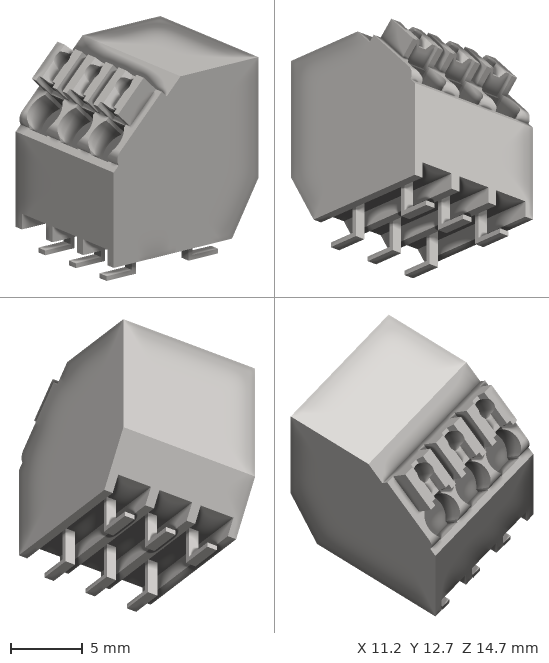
import cadquery as cq
import math

POLES = 3
PITCH = 3.5
WIDTH = 11.2
DEPTH = 12.7
HEIGHT = 14.71

BOTTOM_Z = 1.56
TOP_Z = 14.43
SLOPE_START_Z = 8.56
BACK_CHAMFER_DEPTH = 2.31
BACK_CHAMFER_HEIGHT = 3.97
CHANNEL_WIDTH = 2.78
CHANNEL_HEIGHT = 1.16

BAND_HEIGHT = 0.6
NOSE_START = 0.62
NOSE_END = 1.41

POCKET_OFFSET_X = -0.051
POCKET_RADIUS = 1.53
POCKET_CENTER = 1.94
POCKET_SLOT_WIDTH = 1.99
POCKET_SLOT_START = 0.55
POCKET_DEPTH = 1.85
POCKET_FLOOR = BAND_HEIGHT - POCKET_DEPTH

LEVER_WIDTH = 2.85
LEVER_START = 3.38
LEVER_END = 6.58
LEVER_LENGTH = LEVER_END - LEVER_START
LEVER_TOP = (HEIGHT - SLOPE_START_Z) * math.sqrt(2) - LEVER_END
GROOVE_TOP_WIDTH = 1.19
GROOVE_FLOOR_WIDTH = 0.57
GROOVE_DEPTH = 0.51
LEVER_HOLE_RADIUS = 0.7
LEVER_HOLE_CENTER = 5.59
LEVER_HOLE_DEPTH = 2.2
NOTCH_WIDTH = 1.87
NOTCH_LENGTH = 0.37
NOTCH_DEPTH = 1.85

PIN_WIDTH = 0.8
PIN_THICKNESS = 0.35
PIN_FOOT_LENGTH = 2.57
FRONT_PIN_TOE_Y = 0.68
BACK_PIN_TOE_Y = 10.46
PIN_TOP_Z = BOTTOM_Z + CHANNEL_HEIGHT

CLEARANCE = 1.47

SLOPE = cq.Plane(origin=(0, 0, SLOPE_START_Z), xDir=(1, 0, 0), normal=(0, -1, 1))

pole_positions = [(i - (POLES - 1) / 2) * PITCH for i in range(POLES)]


def slope_box(center_x, width, start, end, low, high):
    """Box aligned with the slope: start/end run up the slope, low/high stand out of it."""
    return (
        cq.Workplane(SLOPE)
        .workplane(offset=low)
        .center(center_x, (start + end) / 2)
        .rect(width, end - start)
        .extrude(high - low)
    )


def slope_cylinder(center_x, center, radius, low, high):
    """Cylinder whose axis stands at right angles to the slope."""
    return (
        cq.Workplane(SLOPE)
        .workplane(offset=low)
        .center(center_x, center)
        .circle(radius)
        .extrude(high - low)
    )


def make_block():
    """Side outline of the housing without its raised band."""
    return (
        cq.Workplane("YZ", origin=(-WIDTH / 2, 0, 0))
        .moveTo(0, BOTTOM_Z)
        .lineTo(DEPTH - BACK_CHAMFER_DEPTH, BOTTOM_Z)
        .lineTo(DEPTH, BOTTOM_Z + BACK_CHAMFER_HEIGHT)
        .lineTo(DEPTH, TOP_Z)
        .lineTo(TOP_Z - SLOPE_START_Z, TOP_Z)
        .lineTo(0, SLOPE_START_Z)
        .close()
        .extrude(WIDTH)
    )


def make_band():
    """Raised band on the slope, with a rounded nose at its lower edge."""
    side = cq.Plane(origin=SLOPE.toWorldCoords((-WIDTH / 2, 0, 0)), xDir=SLOPE.yDir, normal=(1, 0, 0))
    return (
        cq.Workplane(side)
        .moveTo(NOSE_START, 0)
        .lineTo(LEVER_END, 0)
        .lineTo(LEVER_END, BAND_HEIGHT)
        .lineTo(NOSE_END, BAND_HEIGHT)
        .tangentArcPoint((NOSE_START, 0), relative=False)
        .close()
        .extrude(WIDTH)
    )


def make_pocket(pole_x):
    """Wire entry: a round hole joined with a slot, cut flat at both ends of the slot."""
    center_x = pole_x + POCKET_OFFSET_X
    top = BAND_HEIGHT + CLEARANCE
    slot = slope_box(center_x, POCKET_SLOT_WIDTH, POCKET_SLOT_START, LEVER_START, POCKET_FLOOR, top)
    hole = slope_cylinder(center_x, POCKET_CENTER, POCKET_RADIUS, POCKET_FLOOR, top)
    hole_limits = slope_box(
        center_x, 2 * POCKET_RADIUS, POCKET_SLOT_START, LEVER_START, POCKET_FLOOR, top
    )
    return slot.union(hole.intersect(hole_limits))


def make_lever_blank(pole_x):
    """Plain lever bar, reaching down to the level of the pocket floor."""
    return slope_box(pole_x, LEVER_WIDTH, LEVER_START, LEVER_END, POCKET_FLOOR, LEVER_TOP)


def make_channel(pole_x):
    """Channel under one pole, open to the front and the back."""
    return (
        cq.Workplane("XY", origin=(pole_x, DEPTH / 2, BOTTOM_Z))
        .rect(CHANNEL_WIDTH, DEPTH + 2 * CLEARANCE)
        .extrude(CHANNEL_HEIGHT)
    )


def make_housing():
    body = make_block().union(make_band())
    for pole_x in pole_positions:
        body = body.cut(make_channel(pole_x))
        body = body.cut(make_pocket(pole_x))
        body = body.cut(make_lever_blank(pole_x))
    return body


def make_groove(pole_x):
    """Trapezoidal groove along the top of a lever."""
    end_plane = cq.Plane(
        origin=SLOPE.toWorldCoords((pole_x, LEVER_START, LEVER_TOP)),
        xDir=(-1, 0, 0),
        normal=SLOPE.yDir,
    )
    return (
        cq.Workplane(end_plane)
        .moveTo(-GROOVE_TOP_WIDTH / 2, 0)
        .lineTo(-GROOVE_FLOOR_WIDTH / 2, -GROOVE_DEPTH)
        .lineTo(GROOVE_FLOOR_WIDTH / 2, -GROOVE_DEPTH)
        .lineTo(GROOVE_TOP_WIDTH / 2, 0)
        .close()
        .extrude(LEVER_LENGTH)
    )


def make_lever(pole_x):
    hole = slope_cylinder(
        pole_x, LEVER_HOLE_CENTER, LEVER_HOLE_RADIUS, LEVER_TOP - LEVER_HOLE_DEPTH, LEVER_TOP
    )
    notch = slope_box(
        pole_x, NOTCH_WIDTH, LEVER_START, LEVER_START + NOTCH_LENGTH, LEVER_TOP - NOTCH_DEPTH, LEVER_TOP
    )
    return make_lever_blank(pole_x).cut(make_groove(pole_x)).cut(hole).cut(notch)


def make_pin(pole_x, toe_y, heel_direction):
    """L-shaped pin; heel_direction is +1 when the heel lies behind the toe, -1 when in front."""
    heel_y = toe_y + heel_direction * PIN_FOOT_LENGTH
    shin_y = heel_y - heel_direction * PIN_THICKNESS
    return (
        cq.Workplane("YZ", origin=(pole_x - PIN_WIDTH / 2, 0, 0))
        .moveTo(toe_y, 0)
        .lineTo(heel_y, 0)
        .lineTo(heel_y, PIN_TOP_Z)
        .lineTo(shin_y, PIN_TOP_Z)
        .lineTo(shin_y, PIN_THICKNESS)
        .lineTo(toe_y, PIN_THICKNESS)
        .close()
        .extrude(PIN_WIDTH)
    )


housing = make_housing()
levers = [make_lever(pole_x) for pole_x in pole_positions]
front_pins = [make_pin(pole_x, FRONT_PIN_TOE_Y, 1) for pole_x in pole_positions]
back_pins = [make_pin(pole_x, BACK_PIN_TOE_Y, -1) for pole_x in pole_positions]

result = cq.Compound.makeCompound(
    [housing.val()] + [body.val() for body in levers + front_pins + back_pins]
)